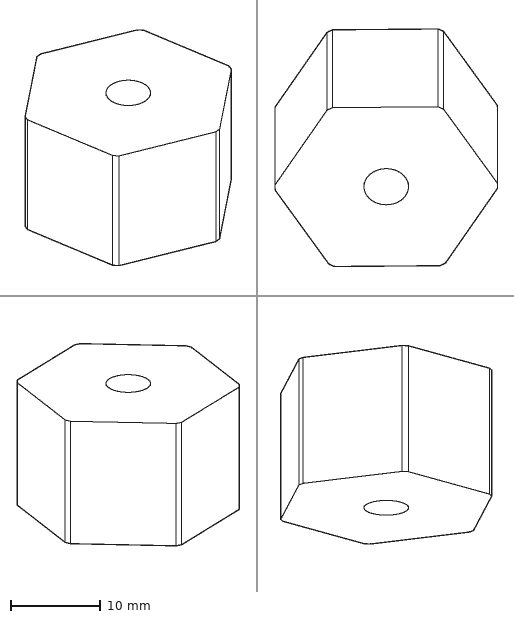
import cadquery as cq
import math

outer_diameter = 25.0
across_flats = 22.0
height = 15.0
bore_diameter = 5.0

across_corners = across_flats / math.cos(math.pi / 6)
hexagon = cq.Workplane("XY").polygon(6, across_corners).extrude(height)

turned_blank = cq.Workplane("XY").circle(outer_diameter / 2).extrude(height)
body = hexagon.intersect(turned_blank)

bore = cq.Workplane("XY").circle(bore_diameter / 2).extrude(height)
result = body.cut(bore)